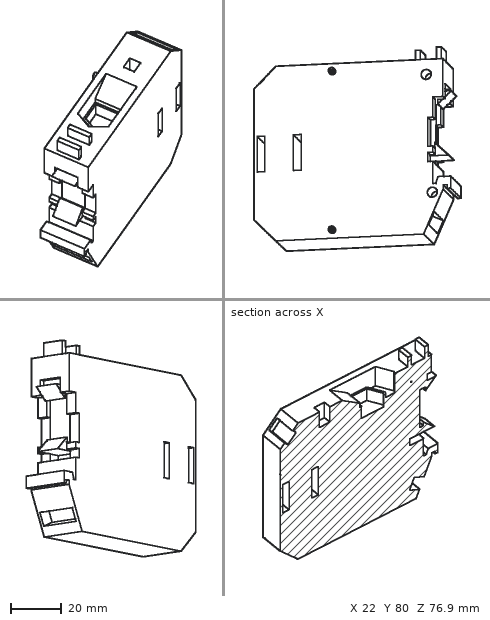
import cadquery as cq
import math


width = 20.0
length = 80.0
height = 71.0
back_chamfer = 9.0
front_y = 3.2
seat_y = 7.2
relief_y = 9.4
overhang_z = 55.6
upper_seat_z = 47.4
lower_seat_z = 29.4
rib_bottom_z = 33.2
rib_top_z = 35.7

foot_groove_z = 20.4
foot_groove_y = 6.0
foot_top_z = 23.1
foot_top_y = 5.1
foot_lip_z = 18.2
foot_lip_y = 1.4
foot_underside_z = 19.6
slope_top = (3.0, 17.9)
slope_bottom_y = 11.0

clip_x = 4.7
clip_width = 10.4
clip_center_x = clip_x + clip_width / 2
clip_bottom_z = 32.7
channel_depth = 4.8
clip_plate_y = relief_y - 0.2
window_top_z = 61.8
window_floor_y = 5.4
upper_hook_z = 58.8
upper_hook_tip_y = 0.8
upper_hook_heel = (6.2, 53.7)
lower_hook_tip_y = 1.7
lower_hook_heel = (7.4, 38.2)
lower_hook_neck_z = 36.2

pin_y = 48.0
pin_heights = (3.3, 67.8)
pin_radius = 1.3
pin_length = 2.0
pin_bore_radius = 0.6
side_hole_radius = 2.0
side_hole_depth = 8.0
side_hole_places = ((9.9, 64.9), (7.4, 16.9))
side_slot_ranges = ((60.8, 63.9), (75.6, 78.6))
side_slot_bottom_z = 28.3
side_slot_top_z = 42.8

tab_width = 9.8
tab_thickness = 2.0
tabs = ((13.4, 5.0), (4.9, 5.9))
square_hole_width = 4.9
square_hole_length = 5.2
square_hole_y = 54.9
square_hole_depth = 8.0

pocket_x = 3.0
pocket_width = 13.9
pocket_back_y = 48.6
pocket_shoulder_y = 25.4
ramp_foot_y = 39.6
ramp_drop = 6.2
pocket_depth = 10.0
ledge_depth = 8.3
ledge_shoulder_y = 29.8
cup_margin = 0.8
cup_back_y = 38.7
cup_shoulder_y = 30.5
cup_depth = 14.4
arrow_angle = 29.0
arrow_slope = math.tan(math.radians(arrow_angle))

back_slot_x = 0.9
back_slot_width = 18.0
back_slot_y = (73.8, 77.8)
back_slot_depth = 2.4
foot_slot_x = 1.4
foot_slot_width = 17.0
foot_slot_z = (4.0, 9.2)
foot_slot_depth = 5.5


def prism(points, x_start, x_length):
    """Extrude a (Y, Z) outline along X."""
    return cq.Workplane("YZ").workplane(offset=x_start).polyline(points).close().extrude(x_length)


def box(x_range, y_range, z_range):
    """Axis-aligned block between the given limits."""
    lows, highs = zip(x_range, y_range, z_range)
    sizes = [high - low for low, high in zip(lows, highs)]
    return cq.Workplane("XY").box(*sizes, centered=False).translate(lows)


def arrow(x_start, x_width, back_y, shoulder_y, depth):
    """Block down from the top face whose front end comes to a point."""
    tip_y = shoulder_y - x_width / 2 * arrow_slope
    points = [
        (x_start, back_y),
        (x_start, shoulder_y),
        (x_start + x_width / 2, tip_y),
        (x_start + x_width, shoulder_y),
        (x_start + x_width, back_y),
    ]
    return cq.Workplane("XY").workplane(offset=height - depth).polyline(points).close().extrude(depth)


def sloped_slot(start, end, depth, x_start, x_width):
    """Slot cut square into a sloping face between two (Y, Z) points; inside lies left of start to end."""
    run = end[0] - start[0]
    rise = end[1] - start[1]
    span = math.hypot(run, rise)
    inward = (-rise / span * depth, run / span * depth)
    points = [
        start,
        end,
        (end[0] + inward[0], end[1] + inward[1]),
        (start[0] + inward[0], start[1] + inward[1]),
    ]
    return prism(points, x_start, x_width)


def make_housing():
    outline = [
        (slope_bottom_y, 0),
        slope_top,
        (slope_top[0], foot_underside_z),
        (foot_lip_y, foot_underside_z),
        (foot_lip_y, foot_lip_z),
        (0, foot_lip_z),
        (0, foot_top_z),
        (foot_top_y, foot_top_z),
        (foot_groove_y, foot_groove_z),
        (seat_y, foot_groove_z),
        (seat_y, lower_seat_z),
        (relief_y, lower_seat_z),
        (relief_y, rib_bottom_z),
        (seat_y, rib_bottom_z),
        (seat_y, rib_top_z),
        (relief_y, rib_top_z),
        (relief_y, upper_seat_z),
        (seat_y, upper_seat_z),
        (seat_y, overhang_z),
        (front_y, overhang_z),
        (front_y, height),
        (length - back_chamfer, height),
        (length, height - back_chamfer),
        (length, back_chamfer),
        (length - back_chamfer, 0),
    ]
    return prism(outline, 0, width)


def add_clip(body):
    """Cut the clip channel and window, then fill in the clip plate and its two hooks."""
    clip_range = (clip_x, clip_x + clip_width)
    channel_back_y = relief_y + channel_depth
    channel = box(clip_range, (0, channel_back_y), (lower_seat_z, overhang_z))
    window = box(clip_range, (0, window_floor_y), (overhang_z, window_top_z))
    plate = box(clip_range, (clip_plate_y, channel_back_y), (clip_bottom_z, overhang_z))
    upper_hook = prism(
        [
            upper_hook_heel,
            (upper_hook_tip_y, upper_hook_z),
            (upper_hook_heel[0], upper_hook_z),
        ],
        clip_x,
        clip_width,
    )
    lower_hook = prism(
        [
            (relief_y, clip_bottom_z),
            (lower_hook_tip_y, clip_bottom_z),
            lower_hook_heel,
            (lower_hook_heel[0], lower_hook_neck_z),
            (relief_y, lower_hook_neck_z),
        ],
        clip_x,
        clip_width,
    )
    return body.cut(channel).cut(window).union(plate).union(upper_hook).union(lower_hook)


def cut_arrow_pocket(body):
    """Pocket with a ramp at the back, a raised ledge on its floor and a cup in the ledge."""
    pocket = arrow(pocket_x, pocket_width, pocket_back_y, pocket_shoulder_y, pocket_depth)
    ramp = prism(
        [
            (pocket_back_y, height),
            (ramp_foot_y, height - ramp_drop),
            (ramp_foot_y, height - pocket_depth),
            (pocket_back_y, height - pocket_depth),
        ],
        pocket_x,
        pocket_width,
    )
    ledge = arrow(pocket_x, pocket_width, ramp_foot_y, ledge_shoulder_y, pocket_depth).cut(
        arrow(pocket_x, pocket_width, ramp_foot_y, ledge_shoulder_y, ledge_depth)
    )
    cup_width = pocket_width - 2 * cup_margin
    cup = arrow(pocket_x + cup_margin, cup_width, cup_back_y, cup_shoulder_y, cup_depth)
    return body.cut(pocket).union(ramp).union(ledge).cut(cup)


def add_top_details(body):
    tab_range = (clip_center_x - tab_width / 2, clip_center_x + tab_width / 2)
    for tab_y, tab_height in tabs:
        body = body.union(box(tab_range, (tab_y, tab_y + tab_thickness), (height, height + tab_height)))
    hole_x = clip_center_x - square_hole_width / 2
    square_hole = box(
        (hole_x, hole_x + square_hole_width),
        (square_hole_y, square_hole_y + square_hole_length),
        (height - square_hole_depth, height),
    )
    return body.cut(square_hole)


def add_side_details(body):
    for slot_range in side_slot_ranges:
        body = body.cut(box((0, width), slot_range, (side_slot_bottom_z, side_slot_top_z)))
    side = cq.Workplane("YZ")
    body = body.cut(side.pushPoints(side_hole_places).circle(side_hole_radius).extrude(side_hole_depth))
    pin_places = [(pin_y, pin_z) for pin_z in pin_heights]
    pins = side.pushPoints(pin_places).circle(pin_radius).circle(pin_bore_radius).extrude(-pin_length)
    return body.union(pins)


def cut_label_slots(body):
    back_points = [(y, height + length - back_chamfer - y) for y in back_slot_y]
    back_slot = sloped_slot(back_points[1], back_points[0], back_slot_depth, back_slot_x, back_slot_width)
    slope_ratio = (slope_top[0] - slope_bottom_y) / slope_top[1]
    foot_points = [(slope_bottom_y + z * slope_ratio, z) for z in foot_slot_z]
    foot_slot = sloped_slot(foot_points[1], foot_points[0], foot_slot_depth, foot_slot_x, foot_slot_width)
    return body.cut(back_slot).cut(foot_slot)


result = make_housing()
result = add_clip(result)
result = cut_arrow_pocket(result)
result = add_top_details(result)
result = add_side_details(result)
result = cut_label_slots(result)